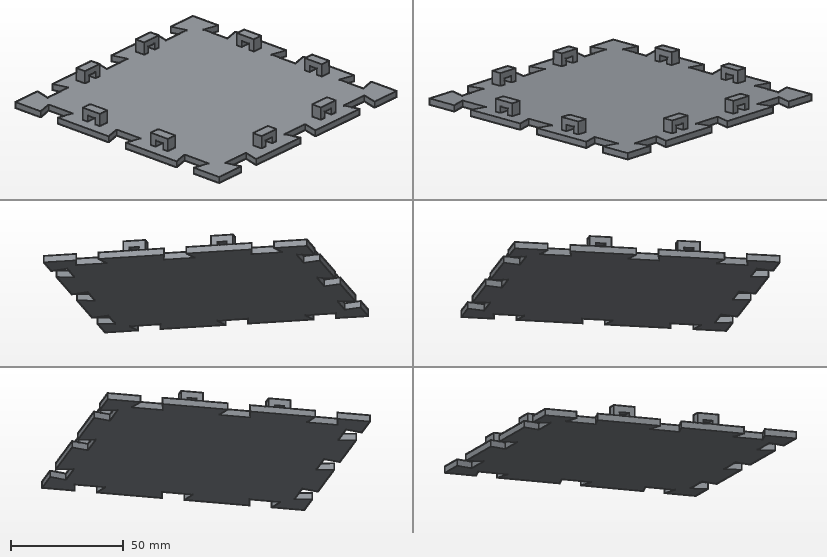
import cadquery as cq
import math

tile_side = 120.0
tile_thickness = 3.0

notches_per_side = 3
notch_pitch = tile_side / notches_per_side
notch_mouth_width = 10.0
notch_flank_length = 8.0
notch_flare = math.radians(15.0)
notch_depth = notch_flank_length * math.cos(notch_flare)
notch_floor_width = notch_mouth_width + 2 * notch_flank_length * math.sin(notch_flare)

loop_length = 10.0
loop_width = 5.0
loop_height = 6.0
loop_window_length = 4.4
loop_window_height = 3.0
loop_inset = 8.0

half_side = tile_side / 2
side_angles = (0, 90, 180, 270)
notch_offsets = [(i - (notches_per_side - 1) / 2) * notch_pitch for i in range(notches_per_side)]
loop_offsets = [offset + notch_pitch / 2 for offset in notch_offsets[:-1]]


def make_notch(offset):
    """Dovetail cutter through the -Y side, widening towards its floor."""
    floor_y = notch_depth - half_side
    return (
        cq.Workplane("XY")
        .polyline([
            (offset - notch_mouth_width / 2, -half_side),
            (offset + notch_mouth_width / 2, -half_side),
            (offset + notch_floor_width / 2, floor_y),
            (offset - notch_floor_width / 2, floor_y),
        ])
        .close()
        .extrude(tile_thickness)
    )


def make_tile():
    """Square plate with the row of dovetail notches repeated on all four sides."""
    tile = cq.Workplane("XY").box(tile_side, tile_side, tile_thickness, centered=(True, True, False))
    for angle in side_angles:
        for offset in notch_offsets:
            tile = tile.cut(make_notch(offset).rotate((0, 0, 0), (0, 0, 1), angle))
    return tile


def make_loop(offset):
    """Block with a window through it at the tile surface, beside the -Y side."""
    block = cq.Workplane("XY").box(loop_length, loop_width, loop_height, centered=(True, True, False))
    window = cq.Workplane("XY").box(
        loop_window_length, loop_width, loop_window_height, centered=(True, True, False)
    )
    return block.cut(window).translate((offset, loop_inset - half_side, tile_thickness))


tile = make_tile()
loops = [
    make_loop(offset).rotate((0, 0, 0), (0, 0, 1), angle)
    for angle in side_angles
    for offset in loop_offsets
]

result = cq.Compound.makeCompound([tile.val(), *[loop.val() for loop in loops]])